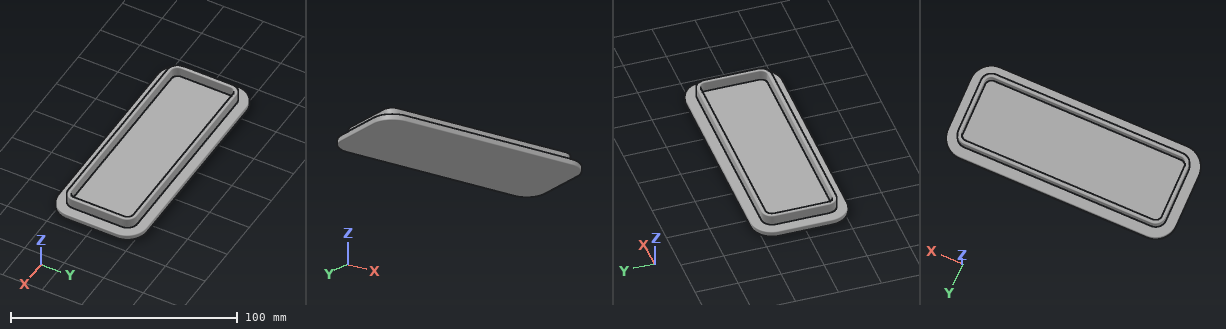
import cadquery as cq

flange_length = 110.0
flange_width = 45.0
flange_thickness = 3.0
flange_corner_radius = 10.0
flange_edge_break = 0.5

total_height = 8.0
rim_inset = flange_corner_radius / 2
rim_corner_radius = flange_corner_radius - rim_inset
rim_wall = 2.0
rim_edge_break = 0.5
rim_length = flange_length - 2 * rim_inset
rim_width = flange_width - 2 * rim_inset

recess_floor = flange_thickness


def rounded_block(length, width, corner_radius, bottom, top):
    """Upright block centred on Z with rounded vertical edges."""
    block = cq.Workplane("XY").workplane(offset=bottom).rect(length, width).extrude(top - bottom)
    return block.edges("|Z").fillet(corner_radius)


flange = rounded_block(flange_length, flange_width, flange_corner_radius, 0, flange_thickness)
flange = flange.faces("<Z or >Z").edges().fillet(flange_edge_break)

rim = rounded_block(rim_length, rim_width, rim_corner_radius, 0, total_height)
rim = rim.cut(
    rounded_block(
        rim_length - 2 * rim_wall,
        rim_width - 2 * rim_wall,
        rim_corner_radius - rim_wall,
        recess_floor,
        total_height,
    )
)
rim = rim.faces(">Z").edges().fillet(rim_edge_break)

result = flange.union(rim)